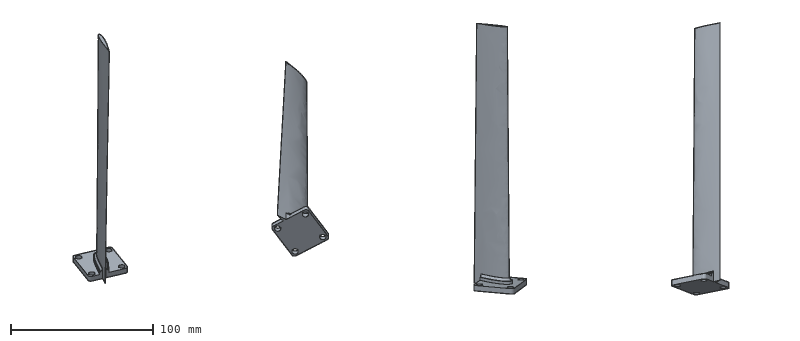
import cadquery as cq
import math

plate_side = 30.0
plate_thickness = 4.0
plate_corner_radius = 2.0
hole_spacing = 23.0
hole_diameter = 4.4

blade_top = 190.0
root_leading = (-7.2, 1.5)
root_trailing = (21.3, -5.5)
root_thickness_ratio = 0.16
root_camber_ratio = 0.02
tip_leading = (-5.9, 1.5)
tip_trailing = (17.9, -0.8)
tip_thickness_ratio = 0.13
tip_camber_ratio = 0.01

collar_offset = 2.3
collar_wall_top = 6.0
collar_top = 8.0
shoulder_base_offset = 1.5
shoulder_top_offset = 0.2

station_count = 10

slope_step = 0.0001


def half_thickness(t, thickness_ratio):
    """NACA four-digit half thickness with a thin blunt trailing edge, at chord fraction t."""
    polynomial = 0.2969 * math.sqrt(t) - 0.126 * t - 0.3516 * t**2 + 0.2843 * t**3 - 0.1015 * t**4
    return 5 * thickness_ratio * polynomial


def airfoil(z, leading, trailing, thickness_ratio, camber_ratio, margin=0):
    """Closed airfoil with parabolic camber at height z, grown outward by margin."""
    chord_x = trailing[0] - leading[0]
    chord_y = trailing[1] - leading[1]
    chord = math.hypot(chord_x, chord_y)

    def rise(t, side):
        return 4 * camber_ratio * t * (1 - t) + side * half_thickness(t, thickness_ratio)

    def surface_point(t, side):
        slope = (rise(t, side) - rise(t - slope_step, side)) / slope_step
        growth = side * margin / (chord * math.hypot(1, slope))
        along = t - growth * slope
        across = rise(t, side) + growth
        x = leading[0] + along * chord_x - across * chord_y
        y = leading[1] + along * chord_y + across * chord_x
        return (x, y)

    nose = (leading[0] - margin * chord_x / chord, leading[1] - margin * chord_y / chord)
    stations = [(i / station_count) ** 2 for i in range(1, station_count + 1)]
    upper = [surface_point(t, 1) for t in reversed(stations)]
    lower = [surface_point(t, -1) for t in stations]
    return (
        cq.Workplane("XY")
        .workplane(offset=z)
        .spline(upper + [nose] + lower)
        .close()
    )


def root_section(z, margin=0):
    return airfoil(z, root_leading, root_trailing, root_thickness_ratio, root_camber_ratio, margin)


def make_plate():
    return (
        cq.Workplane("XY")
        .rect(plate_side, plate_side)
        .extrude(plate_thickness)
        .edges("|Z")
        .fillet(plate_corner_radius)
        .faces(">Z")
        .workplane()
        .rect(hole_spacing, hole_spacing, forConstruction=True)
        .vertices()
        .hole(hole_diameter)
    )


def make_blade():
    """Straight root up to the collar wall, then a ruled taper and twist to the tip."""
    root = root_section(0).extrude(collar_wall_top)
    root_wire = root_section(collar_wall_top).val()
    tip_wire = airfoil(blade_top, tip_leading, tip_trailing, tip_thickness_ratio, tip_camber_ratio).val()
    taper = cq.Workplane(cq.Solid.makeLoft([root_wire, tip_wire], True))
    return root.union(taper)


def make_collar():
    """Widened root with a sloped shoulder, trimmed flush with the +X side of the plate."""
    wall = root_section(0, collar_offset).extrude(collar_wall_top)
    shoulder_base = root_section(collar_wall_top, shoulder_base_offset).val()
    shoulder_rim = root_section(collar_top, shoulder_top_offset).val()
    shoulder = cq.Workplane(cq.Solid.makeLoft([shoulder_base, shoulder_rim], True))
    plate_column = cq.Workplane("XY").box(plate_side, plate_side, collar_top, centered=(True, True, False))
    return wall.union(shoulder).intersect(plate_column)


result = make_plate().union(make_collar()).union(make_blade())